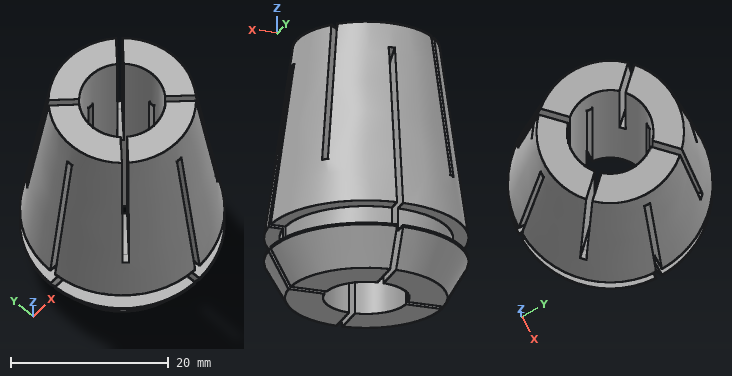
import cadquery as cq
import math

height = 34.0
max_radius = 13.0
top_radius = 9.35
bore_radius = 5.47
base_radius = 10.3
rim_bottom = 4.85
rim_top = 5.1
groove_radius = 11.0
groove_top = 8.13

slots_per_end = 4
slot_spacing = 360 / slots_per_end
slot_width = 0.8
cutter_radius = 12.92
upper_slot_floor = 14.6
upper_cutter_offset = 10.88
lower_cutter_offset = 15.98
lower_cutter_height = 19.15
clearance = 0.68
slot_start = bore_radius - clearance


def make_body():
    """Tapered collet with a nose cone, a thin rim, an extraction groove and a through bore."""
    return (
        cq.Workplane("XZ")
        .moveTo(bore_radius, 0)
        .lineTo(base_radius, 0)
        .lineTo(max_radius, rim_bottom)
        .lineTo(max_radius, rim_top)
        .lineTo(groove_radius, rim_top)
        .lineTo(groove_radius, groove_top)
        .lineTo(max_radius, groove_top)
        .lineTo(top_radius, height)
        .lineTo(bore_radius, height)
        .close()
        .revolve(360, (0, 0, 0), (0, 1, 0))
    )


def make_slot(cutter_offset, cutter_height, direction, open_end):
    """Radial slot whose closed end follows the cutter; direction is the Z sense of that end."""

    def end_height(radius):
        return cutter_height + direction * math.sqrt(cutter_radius**2 - (cutter_offset - radius) ** 2)

    middle = (slot_start + cutter_offset) / 2
    outside = max(cutter_offset, max_radius + clearance)
    deepest = cutter_height + direction * cutter_radius
    profile = (
        cq.Workplane("XZ")
        .moveTo(slot_start, open_end)
        .lineTo(slot_start, end_height(slot_start))
        .threePointArc((middle, end_height(middle)), (cutter_offset, deepest))
    )
    if outside > cutter_offset:
        profile = profile.lineTo(outside, deepest)
    return profile.lineTo(outside, open_end).close().extrude(slot_width / 2, both=True)


lower_slot = make_slot(lower_cutter_offset, lower_cutter_height, 1, -clearance)
upper_slot = make_slot(
    upper_cutter_offset, upper_slot_floor + cutter_radius, -1, height + clearance
)

result = make_body()
for index in range(slots_per_end):
    angle = index * slot_spacing
    result = result.cut(lower_slot.rotate((0, 0, 0), (0, 0, 1), angle))
    result = result.cut(upper_slot.rotate((0, 0, 0), (0, 0, 1), angle + slot_spacing / 2))